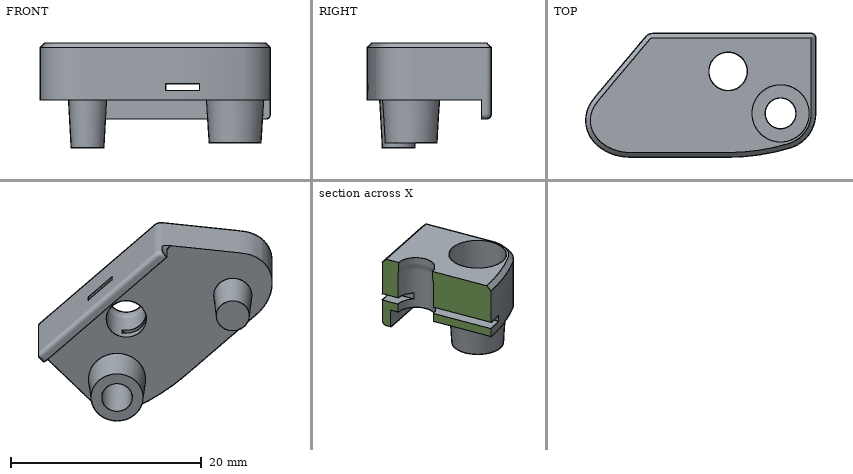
import cadquery as cq
import math

length = 24.13
width = 13.0
body_height = 6.0
top_chamfer = 0.5

screw_x = 20.43
screw_y = 4.6
screw_diameter = 3.2
counterbore_diameter = 6.0
counterbore_floor_z = 2.6

corner_radius = 3.8
corner_x = length - corner_radius
corner_y = screw_y

nose_length = 4.7
nose_width = 3.85
nose_end_angle = 177.0
slant_start_x = 1.1
slant_start_y = 6.45
slant_from_y_axis = 40.0
back_left_radius = 1.0
back_right_radius = 0.51

window_x = 14.93
window_y = 9.0
window_diameter = 4.0
window_bore_diameter = 4.2
window_mouth_depth = 0.8
window_bore_depth = 1.4

slot_width = 3.5
slot_height = 0.7
slot_floor_z = 1.0

lip_drop = 2.0
lip_thickness = 1.05
lip_edge_radius = 0.5
lip_root_radius = 0.5
lip_overlap = 3.0

post_taper = 0.55
pin_x = 4.97
pin_y = 3.29
pin_diameter = 4.0
pin_length = 5.0
screw_post_length = 4.5

slant = math.radians(slant_from_y_axis)
slant_direction = (math.sin(slant), math.cos(slant))
slant_end_x = slant_start_x + (width - slant_start_y) * math.tan(slant)
lip_left_x = slant_end_x + back_left_radius * (math.tan((math.pi / 2 - slant) / 2) - math.cos(slant))
bow_start_x = window_x
bow_run = corner_x - bow_start_x
bow_radius = (bow_run**2 + corner_y**2 - corner_radius**2) / (2 * (corner_y - corner_radius))
bow_angle = math.atan2(bow_run, bow_radius - corner_y)
nose_end = math.radians(nose_end_angle)
nose_end_point = (nose_length * (1 + math.cos(nose_end)), nose_width * (1 + math.sin(nose_end)))
nose_end_direction = (-nose_length * math.sin(nose_end), nose_width * math.cos(nose_end))


def arc_point(center_x, center_y, radius, angle_from_down):
    """Point on a circle, with its angle measured from -Y towards +X."""
    return (
        center_x + radius * math.sin(angle_from_down),
        center_y - radius * math.cos(angle_from_down),
    )


def outline():
    """Closed outline of the body, on the plane of its underside."""
    bow_middle = arc_point(bow_start_x, bow_radius, bow_radius, bow_angle / 2)
    bow_end = arc_point(bow_start_x, bow_radius, bow_radius, bow_angle)
    corner_middle = arc_point(corner_x, corner_y, corner_radius, (bow_angle + math.pi / 2) / 2)
    return (
        cq.Workplane("XY")
        .moveTo(nose_length, 0)
        .lineTo(bow_start_x, 0)
        .threePointArc(bow_middle, bow_end)
        .threePointArc(corner_middle, (length, corner_y))
        .lineTo(length, width)
        .lineTo(slant_end_x, width)
        .lineTo(slant_start_x, slant_start_y)
        .spline(
            [nose_end_point],
            tangents=[(-slant_direction[0], -slant_direction[1]), nose_end_direction],
            includeCurrent=True,
        )
        .ellipseArc(nose_length, nose_width, nose_end_angle, 270, sense=1)
        .close()
    )


def round_upright_edge(block, x, y, radius):
    """Round the upright edge of a block that stands nearest to (x, y)."""
    middle_z = block.val().Center().z
    return block.edges("|Z").edges(cq.selectors.NearestToPointSelector((x, y, middle_z))).fillet(radius)


def make_block(bottom_z, top_z):
    """Body outline between two heights, with its two back corners rounded."""
    block = outline().extrude(top_z - bottom_z).translate((0, 0, bottom_z))
    block = round_upright_edge(block, slant_end_x, width, back_left_radius)
    return round_upright_edge(block, length, width, back_right_radius)


def make_lip():
    """Lip under the back edge, with a rounded lower rim and a concave root at its left end."""
    strip_size = (length - lip_left_x, lip_thickness, lip_drop + lip_overlap)
    strip_corner = (lip_left_x, width - lip_thickness, -lip_drop)
    strip = cq.Workplane("XY").box(*strip_size, centered=False).translate(strip_corner)
    root = (
        cq.Workplane("XZ", origin=(0, width, 0))
        .moveTo(lip_left_x, 0)
        .lineTo(lip_left_x, -lip_root_radius)
        .radiusArc((lip_left_x - lip_root_radius, 0), -lip_root_radius)
        .close()
        .extrude(lip_thickness)
    )
    rounded_block = make_block(-lip_drop, lip_overlap).faces("<Z").edges().fillet(lip_edge_radius)
    return strip.union(root).intersect(rounded_block)


def tapered_post(x, y, diameter, post_length):
    return (
        cq.Workplane("XY", origin=(x, y, 0))
        .circle(diameter / 2)
        .workplane(offset=-post_length)
        .circle((diameter - post_taper) / 2)
        .loft(ruled=True)
    )


def hole(x, y, diameter, bottom_z, top_z):
    return cq.Workplane("XY", origin=(x, y, bottom_z)).circle(diameter / 2).extrude(top_z - bottom_z)


def window_hole():
    """Window cutter, as a half section turned about the vertical axis of the hole."""
    mouth_radius = window_diameter / 2
    bore_radius = window_bore_diameter / 2
    cone_top_z = body_height - window_mouth_depth
    cone_bottom_z = body_height - window_bore_depth
    return (
        cq.Workplane("XZ", origin=(window_x, window_y, 0))
        .lineTo(bore_radius, 0)
        .lineTo(bore_radius, cone_bottom_z)
        .lineTo(mouth_radius, cone_top_z)
        .lineTo(mouth_radius, body_height)
        .lineTo(0, body_height)
        .close()
        .revolve(360, (0, 0, 0), (0, 1, 0))
    )


def make_slot():
    slot = cq.Workplane("XY").box(slot_width, width, slot_height, centered=(True, False, False))
    return slot.translate((window_x, 0, slot_floor_z))


result = (
    make_block(0, body_height)
    .faces(">Z")
    .edges()
    .chamfer(top_chamfer)
    .union(make_lip())
    .union(tapered_post(pin_x, pin_y, pin_diameter, pin_length))
    .union(tapered_post(screw_x, screw_y, counterbore_diameter, screw_post_length))
    .cut(hole(screw_x, screw_y, screw_diameter, -screw_post_length, body_height))
    .cut(hole(screw_x, screw_y, counterbore_diameter, counterbore_floor_z, body_height))
    .cut(window_hole())
    .cut(make_slot())
)